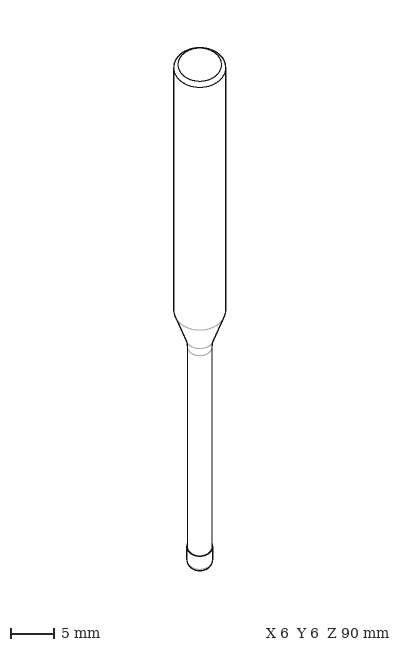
import cadquery as cq
import math

total_length = 90.0

shank_diameter = 6.0
shank_bottom = 45.7
end_chamfer = 0.5
taper_bottom = 40.8
neck_diameter = 2.9
neck_top = 39.2
taper_half_angle = 15.5

tip_diameter = shank_diameter / 2
tip_length = 3.15
tip_corner_radius = 0.8
tip_dish_angle = 10.0


def make_shank():
    """Chamfered shank that tapers and blends tangentially into the neck."""
    shank_radius = shank_diameter / 2
    neck_radius = neck_diameter / 2
    slope = math.tan(math.radians(taper_half_angle))
    taper_end_radius = shank_radius - slope * (shank_bottom - taper_bottom)
    return (
        cq.Workplane("XZ")
        .moveTo(0, tip_length)
        .lineTo(neck_radius, tip_length)
        .lineTo(neck_radius, neck_top)
        .tangentArcPoint((taper_end_radius, taper_bottom), relative=False)
        .lineTo(shank_radius, shank_bottom)
        .lineTo(shank_radius, total_length - end_chamfer)
        .lineTo(shank_radius - end_chamfer, total_length)
        .lineTo(0, total_length)
        .close()
        .revolve(360, (0, 0), (0, 1))
    )


def make_cutting_tip():
    """Short cylinder whose rounded rim runs tangentially into a shallow conical hollow."""
    tip_radius = tip_diameter / 2
    dish_angle = math.radians(tip_dish_angle)
    lowest_ring_radius = tip_radius - tip_corner_radius
    dish_radius = lowest_ring_radius - tip_corner_radius * math.sin(dish_angle)
    dish_rim_height = tip_corner_radius * (1 - math.cos(dish_angle))
    dish_apex_height = dish_rim_height + dish_radius * math.tan(dish_angle)
    return (
        cq.Workplane("XZ")
        .moveTo(0, tip_length)
        .lineTo(tip_radius, tip_length)
        .lineTo(tip_radius, tip_corner_radius)
        .tangentArcPoint((dish_radius, dish_rim_height), relative=False)
        .lineTo(0, dish_apex_height)
        .close()
        .revolve(360, (0, 0), (0, 1))
    )


shank = make_shank()
cutting_tip = make_cutting_tip()

result = cq.Compound.makeCompound([shank.val(), cutting_tip.val()])